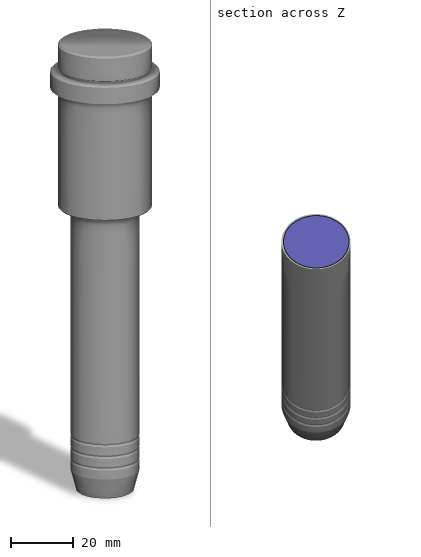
import cadquery as cq
import math

total_length = 150.0
head_diameter = 30.0
head_length = 55.0
shaft_diameter = 22.0
collar_diameter = 35.0
collar_height = 6.0
collar_drop = 9.0

edge_chamfer = 0.5
relief_depth = 0.5
relief_width = 0.95
relief_taper = 0.25

tip_angle = 15
tip_height = 7.0
tip_chamfer = 0.3

groove_count = 3
groove_pitch = 3.9
groove_width = 1.17
groove_depth = 0.28
lowest_groove_bottom = 10.0

head_radius = head_diameter / 2
shaft_radius = shaft_diameter / 2
collar_radius = collar_diameter / 2
head_bottom = total_length - head_length
collar_top = total_length - collar_drop
collar_bottom = collar_top - collar_height


def revolve_outline(outline):
    """Solid of revolution about Z from a closed outline of (radius, height) points."""
    return cq.Workplane("XZ").polyline(outline).close().revolve(360, (0, 0), (0, 1))


def taper_radius(height):
    """Radius of the tapered tip at a height above the end face."""
    return shaft_radius - (tip_height - height) * math.tan(math.radians(tip_angle))


def make_shaft():
    """Shaft with a tapered tip, V grooves and a square relief under the head."""
    neck_radius = shaft_radius - relief_depth
    neck_bottom = head_bottom - relief_width
    outline = [
        (0, 0),
        (taper_radius(0) - tip_chamfer, 0),
        (taper_radius(tip_chamfer), tip_chamfer),
        (shaft_radius, tip_height),
    ]
    for index in range(groove_count):
        groove_bottom = lowest_groove_bottom + index * groove_pitch
        outline += [
            (shaft_radius, groove_bottom),
            (shaft_radius - groove_depth, groove_bottom + groove_width / 2),
            (shaft_radius, groove_bottom + groove_width),
        ]
    outline += [
        (shaft_radius, neck_bottom),
        (neck_radius, neck_bottom),
        (neck_radius, head_bottom),
        (0, head_bottom),
    ]
    return revolve_outline(outline)


def make_head():
    """Head with a collar and a relief groove on each side of the collar."""
    relief_radius = head_radius - relief_depth
    lower_relief_bottom = collar_bottom - relief_width
    upper_relief_top = collar_top + relief_width
    outline = [
        (0, head_bottom),
        (head_radius - edge_chamfer, head_bottom),
        (head_radius, head_bottom + edge_chamfer),
        (head_radius, lower_relief_bottom),
        (relief_radius, lower_relief_bottom + relief_taper),
        (relief_radius, collar_bottom),
        (collar_radius, collar_bottom),
        (collar_radius, collar_top - edge_chamfer),
        (collar_radius - edge_chamfer, collar_top),
        (relief_radius, collar_top),
        (relief_radius, upper_relief_top - relief_taper),
        (head_radius, upper_relief_top),
        (head_radius, total_length - edge_chamfer),
        (head_radius - edge_chamfer, total_length),
        (0, total_length),
    ]
    return revolve_outline(outline)


result = make_shaft().union(make_head())